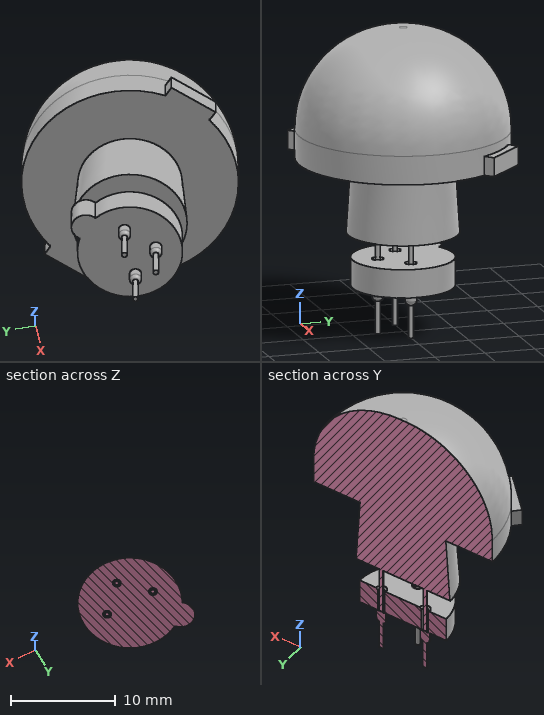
import cadquery as cq
import math

TOTAL_HEIGHT = 29.98
RIM_TOP = 20.0
TAB_TOP = 19.05
RIM_BOTTOM = 17.15
NECK_BOTTOM = 9.83
SOCKET_TOP = 7.38
SOCKET_BOTTOM = 4.6
COLLAR_BOTTOM = 3.18

CAP_RADIUS = 20.7 / 2
DOME_RADIUS = TOTAL_HEIGHT - RIM_TOP
DOME_FLAT_RADIUS = CAP_RADIUS - DOME_RADIUS
NECK_TOP_RADIUS = 9.95 / 2
NECK_BOTTOM_RADIUS = 10.88 / 2
TAB_WIDTH = 5.0
TAB_REACH = 11.1
TAB_ANGLE = 45.0
LEAD_DIAMETER = 0.45

SOCKET_RADIUS = 10.0 / 2
LOBE_RADIUS = 1.38
LOBE_ANGLE = 135.0
COLLAR_RADIUS = 1.15 / 2
COLLAR_ROUNDING = 0.5
SOCKET_PIN_DIAMETER = 0.5

FUNNEL_TOP_RADIUS = COLLAR_RADIUS
FUNNEL_DEPTH = 0.195
LEAD_HOLE_DIAMETER = 0.75
LEAD_HOLE_DEPTH = SOCKET_TOP - SOCKET_BOTTOM

CONTACT_CIRCLE_RADIUS = 2.52
CONTACT_ANGLES = (180.0, 270.0, 0.0)
CONTACTS = [
    (
        CONTACT_CIRCLE_RADIUS * math.cos(math.radians(angle)),
        CONTACT_CIRCLE_RADIUS * math.sin(math.radians(angle)),
    )
    for angle in CONTACT_ANGLES
]


def cylinders(diameter, bottom, top):
    """One upright cylinder at each contact."""
    return (
        cq.Workplane("XY", origin=(0, 0, bottom))
        .pushPoints(CONTACTS)
        .circle(diameter / 2)
        .extrude(top - bottom)
    )


def revolve_about_z(profile):
    return profile.close().revolve(360, (0, 0, 0), (0, 1, 0))


def make_cap_and_neck():
    arc_step = DOME_RADIUS * math.sqrt(0.5)
    dome_middle = (DOME_FLAT_RADIUS + arc_step, RIM_TOP + arc_step)
    profile = (
        cq.Workplane("XZ")
        .moveTo(0, NECK_BOTTOM)
        .lineTo(NECK_BOTTOM_RADIUS, NECK_BOTTOM)
        .lineTo(NECK_TOP_RADIUS, RIM_BOTTOM)
        .lineTo(CAP_RADIUS, RIM_BOTTOM)
        .lineTo(CAP_RADIUS, RIM_TOP)
        .threePointArc(dome_middle, (DOME_FLAT_RADIUS, TOTAL_HEIGHT))
        .lineTo(0, TOTAL_HEIGHT)
    )
    return revolve_about_z(profile)


def make_tabs():
    """A bar across the rim whose two ends form the opposite tabs."""
    return (
        cq.Workplane("XY", origin=(0, 0, RIM_BOTTOM))
        .transformed(rotate=(0, 0, TAB_ANGLE))
        .rect(2 * TAB_REACH, TAB_WIDTH)
        .extrude(TAB_TOP - RIM_BOTTOM)
    )


def make_sensor():
    leads = cylinders(LEAD_DIAMETER, SOCKET_TOP - LEAD_HOLE_DEPTH, NECK_BOTTOM)
    return make_cap_and_neck().union(make_tabs()).union(leads)


def make_socket_disc():
    height = SOCKET_TOP - SOCKET_BOTTOM
    base = cq.Workplane("XY", origin=(0, 0, SOCKET_BOTTOM))
    lobe = (
        base.transformed(rotate=(0, 0, LOBE_ANGLE))
        .center(SOCKET_RADIUS, 0)
        .circle(LOBE_RADIUS)
        .extrude(height)
    )
    return base.circle(SOCKET_RADIUS).extrude(height).union(lobe)


def make_collars():
    collars = cylinders(2 * COLLAR_RADIUS, COLLAR_BOTTOM, SOCKET_BOTTOM)
    return collars.faces("<Z").edges().fillet(COLLAR_ROUNDING)


def make_funnels():
    """Conical mouths that narrow from the socket's top face down to the lead holes."""
    profile = (
        cq.Workplane("XZ")
        .moveTo(0, SOCKET_TOP)
        .lineTo(FUNNEL_TOP_RADIUS, SOCKET_TOP)
        .lineTo(LEAD_HOLE_DIAMETER / 2, SOCKET_TOP - FUNNEL_DEPTH)
        .lineTo(0, SOCKET_TOP - FUNNEL_DEPTH)
    )
    funnel = revolve_about_z(profile).val()
    return cq.Workplane("XY").pushPoints(CONTACTS).eachpoint(lambda place: funnel.moved(place))


def make_socket():
    pins = cylinders(SOCKET_PIN_DIAMETER, 0, SOCKET_BOTTOM)
    lead_holes = cylinders(LEAD_HOLE_DIAMETER, SOCKET_TOP - LEAD_HOLE_DEPTH, SOCKET_TOP)
    socket = make_socket_disc().union(make_collars()).union(pins)
    return socket.cut(lead_holes).cut(make_funnels())


sensor = make_sensor()
socket = make_socket()
result = cq.Compound.makeCompound([sensor.val(), socket.val()])